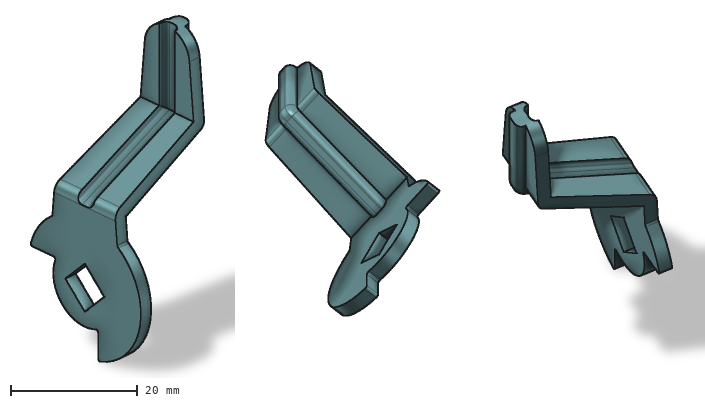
import cadquery as cq
import math

head_radius = 12.5
hub_radius = 7.0
notch_offset = 2.95
notch_corner_radius = 0.4
neck_corner_radius = 0.5
hole_diagonal = 8.65

arm_top = 39.95
tip_radius = 5.0
neck_half_width = 7.2

thickness = 2.35
upper_front = 18.45
upper_bend_height = 24.95
slope = math.radians(26.0)
lower_bend_radius = 2.2
upper_bend_radius = 1.5

rib_width = 3.5
bead_height = 1.5
bead_bend_radius = 2.35
bead_edge_radius = 1.2
groove_depth = 1.15
groove_edge_radius = 1.1
groove_overrun = 0.5

lower_bend_height = upper_bend_height - upper_front * math.tan(slope)
miter = math.tan((math.pi / 2 - slope) / 2)
clearance = 2.6
sheet_top = arm_top + clearance
sheet_bottom = -head_radius - clearance


def bend_points(offset):
    """Lower and upper bend corners (Y, Z) at a given depth behind the front face."""
    drop = miter * offset
    return (offset, lower_bend_height - drop), (upper_front + offset, upper_bend_height - drop)


def crank(front_offset, back_offset, width):
    """Cranked band between two depths, extruded symmetrically across X."""
    front_low, front_high = bend_points(front_offset)
    back_low, back_high = bend_points(back_offset)
    points = [
        (front_offset, sheet_bottom), front_low, front_high, (front_high[0], sheet_top),
        (back_high[0], sheet_top), back_high, back_low, (back_offset, sheet_bottom),
    ]
    return cq.Workplane("YZ").polyline(points).close().extrude(width / 2, both=True)


def round_bend(body, corner, radius):
    """Round the bend edge that runs across X through a (Y, Z) corner."""
    edge = cq.selectors.NearestToPointSelector((0, *corner))
    return body.edges("|X").edges(edge).fillet(radius)


def make_sheet():
    """Wide cranked sheet with its two outer bends rounded."""
    low, _ = bend_points(0)
    _, high = bend_points(thickness)
    sheet = crank(0, thickness, 2 * (head_radius + clearance))
    sheet = round_bend(sheet, low, lower_bend_radius)
    return round_bend(sheet, high, upper_bend_radius)


def make_bead():
    """Round-edged rib behind the web and upper plate, rooted inside the sheet."""
    root = thickness / 2
    crest = thickness + bead_height
    _, crest_high = bend_points(crest)
    root_low, root_high = bend_points(root)
    crest_low = (root, crest_high[1] - (crest_high[0] - root) * math.tan(slope))
    points = [
        root_low, root_high, (root_high[0], sheet_top),
        (crest_high[0], sheet_top), crest_high, crest_low,
    ]
    bead = cq.Workplane("YZ").polyline(points).close().extrude(rib_width / 2, both=True)
    bead = round_bend(bead, crest_high, bead_bend_radius)
    return bead.faces(">Y").edges("|Z").fillet(bead_edge_radius)


def make_groove():
    """Round-bottomed channel cutter along the web and upper plate, open at both ends."""
    reach = clearance / math.cos(slope)
    _, bend = bend_points(groove_depth)
    run = bend[0] + reach
    start = (-reach, bend[1] - run * math.tan(slope))
    path = cq.Workplane("YZ").polyline([start, bend, (bend[0], sheet_top)])
    along = cq.Vector(0, math.cos(slope), math.sin(slope))
    section = cq.Workplane(cq.Plane((0, *start), (-1, 0, 0), along))
    half = rib_width / 2
    floor_half = half - groove_edge_radius
    bulge = groove_edge_radius * (1 - math.sqrt(0.5))
    mouth = groove_depth + groove_overrun
    section = (
        section.moveTo(-floor_half, 0)
        .lineTo(floor_half, 0)
        .threePointArc((half - bulge, bulge), (half, groove_edge_radius))
        .lineTo(half, mouth)
        .lineTo(-half, mouth)
        .lineTo(-half, groove_edge_radius)
        .threePointArc((bulge - half, bulge), (-floor_half, 0))
        .close()
    )
    return section.sweep(path, transition="right")


def extrude_outline(wire):
    """Extrude an XZ outline from the front face to the crest of the bead."""
    return wire.extrude(-(upper_front + thickness + bead_height))


def round_corner(body, x, z, radius):
    """Round the outline corner, an edge along Y, through (x, z)."""
    depth_middle = (upper_front + thickness + bead_height) / 2
    edge = cq.selectors.NearestToPointSelector((x, depth_middle, z))
    return body.edges("|Y").edges(edge).fillet(radius)


def make_outline():
    """Cam head and tapered round-tipped arm in the XZ plane, with the square hole."""
    neck_height = math.sqrt(head_radius**2 - neck_half_width**2)
    tip_center = arm_top - tip_radius
    rise = tip_center - neck_height
    to_center = math.hypot(neck_half_width, rise)
    taper = math.atan2(neck_half_width, rise) - math.asin(tip_radius / to_center)
    tip_x = tip_radius * math.cos(taper)
    tip_z = tip_center + tip_radius * math.sin(taper)

    outer_reach = math.sqrt(head_radius**2 - notch_offset**2)
    hub_reach = math.sqrt(hub_radius**2 - notch_offset**2)
    diagonal = math.sqrt(0.5)
    shoulder_angle = math.radians(150)
    wire = (
        cq.Workplane("XZ")
        .moveTo(neck_half_width, neck_height)
        .lineTo(tip_x, tip_z)
        .threePointArc((0, arm_top), (-tip_x, tip_z))
        .lineTo(-neck_half_width, neck_height)
        .threePointArc(
            (head_radius * math.cos(shoulder_angle), head_radius * math.sin(shoulder_angle)),
            (-outer_reach, notch_offset),
        )
        .lineTo(-hub_reach, notch_offset)
        .threePointArc((-hub_radius * diagonal, -hub_radius * diagonal), (notch_offset, -hub_reach))
        .lineTo(notch_offset, -outer_reach)
        .threePointArc((head_radius, 0), (neck_half_width, neck_height))
        .close()
    )
    body = extrude_outline(wire)
    for reach in (outer_reach, hub_reach):
        body = round_corner(body, -reach, notch_offset, notch_corner_radius)
        body = round_corner(body, notch_offset, -reach, notch_corner_radius)
    for side in (-1, 1):
        body = round_corner(body, side * neck_half_width, neck_height, neck_corner_radius)

    half = hole_diagonal / 2
    hole = cq.Workplane("XZ").polyline([(half, 0), (0, half), (-half, 0), (0, -half)]).close()
    return body.cut(extrude_outline(hole))


result = make_sheet().union(make_bead()).cut(make_groove()).intersect(make_outline())